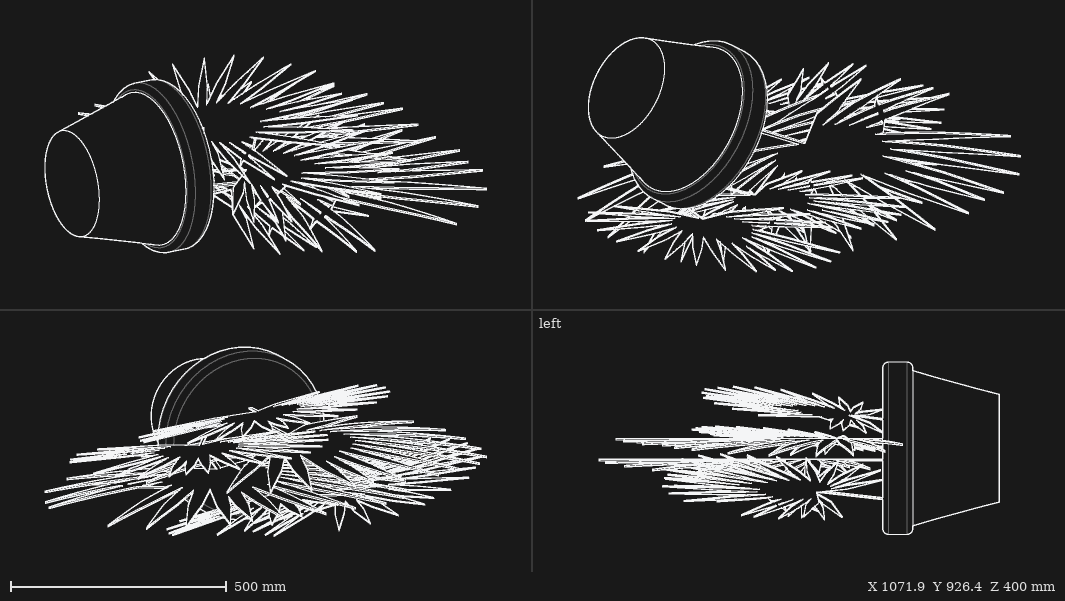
import cadquery as cq
import math

BASE_RADIUS = 125
TAPER_TOP_RADIUS = 180
RIM_RADIUS = 200
TAPER_HEIGHT = 200
RIM_HEIGHT = 70
RIM_FILLET = 14

LOWER_BLADES = [(-19, 347), (-8, 406), (2.7, 429), (8.4, 440)]
UPPER_BLADES = [
    (39, 483), (51.4, 500), (62.3, 509), (74, 507), (80.2, 486),
    (88.9, 493), (101.3, 493), (112.7, 477), (125.5, 477), (137.6, 469),
    (149.7, 453), (163.6, 438), (175.2, 426), (186.7, 393), (201.5, 296),
]
LOWER_NOTCHES = [(-15, 96), (-3, 114), (8.4, 136), (19.6, 164)]
UPPER_NOTCHES = [
    (32.6, 171), (44, 180), (54.7, 199), (65.7, 189), (76.4, 263),
    (84.8, 229), (96.2, 191), (109.4, 187), (121.9, 170), (135.3, 164),
    (146.6, 150), (158.8, 139), (172.5, 116), (182.1, 99), (195.4, 76),
]
BENT_BLADE_ROOT = (25, 120)
BENT_BLADE_LOWER_EDGE = [(19.5, 208), (8.3, 224), (-1.5, 254)]
BENT_BLADE_TIP = (-6.5, 296)
BENT_BLADE_UPPER_EDGE = [(-1.5, 266), (7, 247), (17.3, 218), (31.6, 190)]
SHOULDER_POSITION = 0.42
SHOULDER_SLENDERNESS = 0.032
STEM_SIDE_SHOULDER_POSITION = 0.3
STEM_SIDE_SHOULDER_OFFSET = 28

STEM_START = (-4, 10)
STEM_WIDTH = 10
STEM_DIRECTION = -100
STEM_LENGTH = 300

LEAF_THICKNESS = 4

FLAT_LEAF_SCALE = 0.7
FLAT_LEAVES = [
    ((11.8, 347.3, 76.8), 0, -0.126, 0.157),
    ((166.2, 370.2, 17.5), -18.7, -0.058, 0.083),
    ((-172.2, 423.5, -100.8), 26, -0.251, 0.046),
    ((-12.7, 434.3, -98.7), 1.9, -0.224, 0.151),
]

ARCH_RADIUS = 2450
ARCH_REACH = 600
DROOPING_BLANK_DEPTH = 200
DROOPING_LEAVES = [
    ((-47.8, 382.9, 23), 10.9),
    ((149.4, 435.4, -25), -4.1),
]


def polar_point(direction, distance):
    angle = math.radians(direction)
    return cq.Vector(distance * math.cos(angle), distance * math.sin(angle))


def shoulder_point(root_middle, tip, position, offset):
    """A point beside the blade's axis, to the left of it for a positive offset."""
    axis = tip - root_middle
    left = cq.Vector(-axis.y, axis.x).normalized()
    return root_middle + axis * position + left * offset


def straight_blade(first_root, tip, last_root, first_beside_stem, last_beside_stem):
    """Corners of one blade between two roots, without the last root."""
    root_middle = (first_root + last_root) * 0.5
    shoulders = []
    for side, beside_stem in ((-1, first_beside_stem), (1, last_beside_stem)):
        position = STEM_SIDE_SHOULDER_POSITION if beside_stem else SHOULDER_POSITION
        offset = STEM_SIDE_SHOULDER_OFFSET if beside_stem else SHOULDER_SLENDERNESS * tip.Length
        shoulders.append(shoulder_point(root_middle, tip, position, side * offset))
    return [first_root, shoulders[0], tip, shoulders[1]]


def leaf_outline():
    """Corners of the full-size leaf without its bent blade, from the apex round all the blades."""
    apex = cq.Vector(0, 0)
    lower_roots = [apex] + [polar_point(*notch) for notch in LOWER_NOTCHES]
    upper_roots = [polar_point(*notch) for notch in UPPER_NOTCHES] + [apex]
    points = []
    for index, blade in enumerate(LOWER_BLADES):
        points += straight_blade(
            lower_roots[index], polar_point(*blade), lower_roots[index + 1], index == 0, False
        )
    points.append(lower_roots[-1])
    last = len(UPPER_BLADES) - 1
    for index, blade in enumerate(UPPER_BLADES):
        points += straight_blade(
            upper_roots[index], polar_point(*blade), upper_roots[index + 1], False, index == last
        )
    return points


def bent_blade_outline():
    corners = [BENT_BLADE_ROOT, LOWER_NOTCHES[-1], *BENT_BLADE_LOWER_EDGE, BENT_BLADE_TIP]
    corners += [*BENT_BLADE_UPPER_EDGE, UPPER_NOTCHES[0]]
    return [polar_point(*corner) for corner in corners]


def stem_outline():
    start = cq.Vector(*STEM_START)
    end = start + polar_point(STEM_DIRECTION, STEM_LENGTH)
    half_width = polar_point(STEM_DIRECTION + 90, STEM_WIDTH / 2)
    return [start - half_width, end - half_width, end + half_width, start + half_width]


def leaf_blank(plane, scale, turn, thickness):
    """A flat leaf with its stem, extruded to both sides of the plane."""
    turned_plane = plane.rotated((0, 0, turn))

    def sheet(outline):
        points = [(point.x * scale, point.y * scale) for point in outline]
        return cq.Workplane(turned_plane).polyline(points).close().extrude(thickness / 2, both=True)

    return sheet(leaf_outline()).union(sheet(bent_blade_outline())).union(sheet(stem_outline()))


def make_pot():
    taper = (
        cq.Workplane("XZ")
        .circle(BASE_RADIUS)
        .workplane(offset=-TAPER_HEIGHT)
        .circle(TAPER_TOP_RADIUS)
        .loft()
    )
    rim = (
        cq.Workplane("XZ", origin=(0, TAPER_HEIGHT, 0))
        .circle(RIM_RADIUS)
        .extrude(-RIM_HEIGHT)
        .edges()
        .fillet(RIM_FILLET)
    )
    return taper.union(rim)


def make_flat_leaf(apex, turn, rise_x, rise_y):
    plane = cq.Plane(origin=apex, xDir=(1, 0, rise_x), normal=(-rise_x, -rise_y, 1))
    return leaf_blank(plane, FLAT_LEAF_SCALE, turn, LEAF_THICKNESS * FLAT_LEAF_SCALE)


def make_drooping_leaf(apex, turn):
    blank = leaf_blank(cq.Plane.XY(), 1, turn, DROOPING_BLANK_DEPTH)
    arch = (
        cq.Workplane("XZ", origin=(0, 0, -ARCH_RADIUS))
        .circle(ARCH_RADIUS)
        .circle(ARCH_RADIUS - LEAF_THICKNESS)
        .extrude(ARCH_REACH, both=True)
    )
    return blank.intersect(arch).translate(apex)


pot = make_pot()

flat_leaves = [make_flat_leaf(*placement).cut(pot) for placement in FLAT_LEAVES]

drooping_leaves = []
for placement in DROOPING_LEAVES:
    drooping_leaf = make_drooping_leaf(*placement)
    for neighbour in [pot, *flat_leaves]:
        drooping_leaf = drooping_leaf.cut(neighbour)
    drooping_leaves.append(drooping_leaf)

leaves = flat_leaves + drooping_leaves

result = cq.Compound.makeCompound([pot.val()] + [leaf.solids().val() for leaf in leaves])